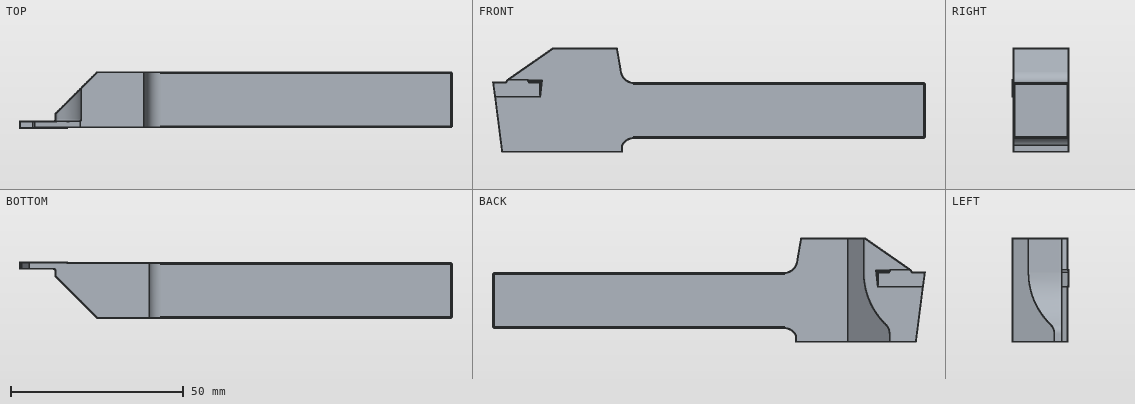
import cadquery as cq
import math

LENGTH = 125.0
HEAD_HEIGHT = 30.0
DEPTH = 16.2
FACE_Y = 0.2

SHANK_SIDE = DEPTH - FACE_Y
SHANK_BOTTOM = 4.0
SHANK_TOP = SHANK_BOTTOM + SHANK_SIDE
SHANK_START = 40.8
SHANK_CHAMFER = 0.4

RELIEF_ANGLE = math.radians(8)
TOE_X = 2.6
HEAD_TOP_START = 17.4
HEAD_TOP_END = 35.9
HEAD_BACK = 37.4
NECK_RADIUS = 3.8
NECK_SLOPE = math.radians(10)

BLADE_BACK = 2.0
WALL_X = 17.8
WALL_BOTTOM = 20.1
SWEEP_RADIUS = 21.0
SWEEP_ANGLE = math.radians(46)
NOSE_RADIUS = 3.5
BLADE_ROOT_RADIUS = 0.6
BEVEL_OFFSET = 6.1

SEAT_Z = 16.0
EDGE_Z = 20.1
CREST_Z = 20.9
CREST_START = 4.2
CREST_END = 10.0
CREST_RUN = 0.5
INSERT_END = 13.6
SEAT_CLEARANCE = 0.5
SEAT_TOP = EDGE_Z + SEAT_CLEARANCE
INSERT_TOE_X = (EDGE_Z - SEAT_Z) * math.tan(RELIEF_ANGLE)


def xz_plane(y):
    """Plane at depth y, with local axes X and Z, normal toward -Y."""
    return cq.Workplane("XZ", origin=(0, y, 0))


def make_head():
    """Head plate of full depth, running into the neck fillets."""
    upper_center_z = SHANK_TOP + NECK_RADIUS
    upper_start = (SHANK_START - NECK_RADIUS * math.cos(NECK_SLOPE),
                   upper_center_z - NECK_RADIUS * math.sin(NECK_SLOPE))
    upper_half = (math.pi / 2 + NECK_SLOPE) / 2
    upper_mid = (SHANK_START - NECK_RADIUS * math.sin(upper_half),
                 upper_center_z - NECK_RADIUS * math.cos(upper_half))
    lower_sweep = math.asin((SHANK_START - HEAD_BACK) / NECK_RADIUS)
    lower_center_z = SHANK_BOTTOM - NECK_RADIUS
    lower_mid = (SHANK_START - NECK_RADIUS * math.sin(lower_sweep / 2),
                 lower_center_z + NECK_RADIUS * math.cos(lower_sweep / 2))
    lower_end = (HEAD_BACK, lower_center_z + NECK_RADIUS * math.cos(lower_sweep))
    return (
        xz_plane(DEPTH)
        .moveTo(TOE_X, 0)
        .lineTo(INSERT_TOE_X, SEAT_Z)
        .lineTo(CREST_START, SEAT_Z)
        .lineTo(CREST_START, CREST_Z)
        .lineTo(HEAD_TOP_START, HEAD_HEIGHT)
        .lineTo(HEAD_TOP_END, HEAD_HEIGHT)
        .lineTo(*upper_start)
        .threePointArc(upper_mid, (SHANK_START, SHANK_TOP))
        .lineTo(SHANK_START, SHANK_BOTTOM)
        .threePointArc(lower_mid, lower_end)
        .lineTo(HEAD_BACK, 0)
        .close()
        .extrude(SHANK_SIDE)
    )


def make_shank():
    return (
        cq.Workplane("XY")
        .box(LENGTH - SHANK_START, SHANK_SIDE, SHANK_SIDE, centered=False)
        .translate((SHANK_START, FACE_Y, SHANK_BOTTOM))
        .edges("|X or >X")
        .chamfer(SHANK_CHAMFER)
    )


def make_blade_relief():
    """Space behind the blade, ending at a wall that sweeps down into a rounded nose."""
    sweep_center_x = WALL_X - SWEEP_RADIUS

    def sweep_point(angle):
        return (sweep_center_x + SWEEP_RADIUS * math.cos(angle),
                WALL_BOTTOM - SWEEP_RADIUS * math.sin(angle))

    sweep_end = sweep_point(SWEEP_ANGLE)
    nose_center = (sweep_end[0] + NOSE_RADIUS * math.cos(SWEEP_ANGLE),
                   sweep_end[1] - NOSE_RADIUS * math.sin(SWEEP_ANGLE))
    nose_end = (nose_center[0] - NOSE_RADIUS, nose_center[1])
    nose_mid = (nose_center[0] - NOSE_RADIUS * math.cos(SWEEP_ANGLE / 2),
                nose_center[1] + NOSE_RADIUS * math.sin(SWEEP_ANGLE / 2))
    relief = (
        xz_plane(DEPTH)
        .moveTo(0, 0)
        .lineTo(0, HEAD_HEIGHT)
        .lineTo(WALL_X, HEAD_HEIGHT)
        .lineTo(WALL_X, WALL_BOTTOM)
        .threePointArc(sweep_point(SWEEP_ANGLE / 2), sweep_end)
        .threePointArc(nose_mid, nose_end)
        .lineTo(nose_end[0], 0)
        .close()
        .extrude(DEPTH - BLADE_BACK)
    )
    root_edges = cq.selectors.BoxSelector(
        (nose_end[0] / 2, BLADE_BACK - 0.1, -1.2),
        (WALL_X + 1.2, BLADE_BACK + 0.1, HEAD_HEIGHT - 0.1),
    )
    return relief.edges(root_edges).edges("not(|X)").fillet(BLADE_ROOT_RADIUS)


def make_side_bevel():
    """45 degree corner cut on the far side of the head, behind the blade."""
    return (
        cq.Workplane("XY")
        .moveTo(BLADE_BACK + BEVEL_OFFSET, BLADE_BACK)
        .lineTo(DEPTH + BEVEL_OFFSET, DEPTH)
        .lineTo(0, DEPTH)
        .lineTo(0, BLADE_BACK)
        .close()
        .extrude(HEAD_HEIGHT)
    )


def make_insert():
    """Cutting insert with a raised crest and a slanted front face."""
    return (
        xz_plane(BLADE_BACK)
        .moveTo(INSERT_TOE_X, SEAT_Z)
        .lineTo(0, EDGE_Z)
        .lineTo(CREST_START - CREST_RUN, EDGE_Z)
        .lineTo(CREST_START, CREST_Z)
        .lineTo(CREST_END, CREST_Z)
        .lineTo(CREST_END + CREST_RUN, EDGE_Z)
        .lineTo(INSERT_END, EDGE_Z)
        .lineTo(INSERT_END, SEAT_Z)
        .close()
        .extrude(BLADE_BACK)
    )


def make_seat():
    """Clearance above and behind the insert, cut through the blade."""
    return (
        xz_plane(BLADE_BACK)
        .moveTo(CREST_END, SEAT_Z)
        .lineTo(INSERT_END, SEAT_Z)
        .lineTo(INSERT_END + SEAT_CLEARANCE, SEAT_TOP)
        .lineTo(CREST_END, SEAT_TOP)
        .close()
        .extrude(BLADE_BACK)
    )


insert = make_insert()
holder = (
    make_head()
    .union(make_shank())
    .cut(make_blade_relief())
    .cut(make_side_bevel())
    .cut(make_seat())
    .cut(insert)
)

result = cq.Compound.makeCompound([holder.val(), insert.val()])